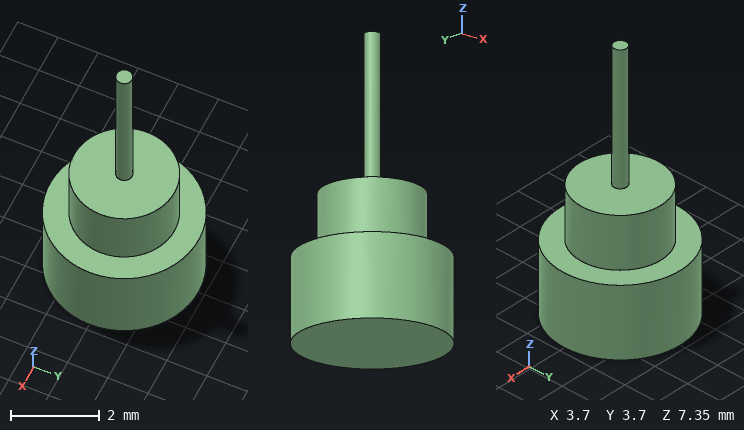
import cadquery as cq

total_height = 7.35
base_diameter = 3.7
base_height = 2.05
collar_diameter = 2.5
collar_height = 1.5
pin_diameter = 0.39

insert_diameter = 1.95

collar_top = base_height + collar_height
pin_length = total_height - collar_top


def cylinder(diameter, bottom, height):
    """Cylinder on the Z axis, standing on the given bottom level."""
    return cq.Workplane("XY").workplane(offset=bottom).circle(diameter / 2).extrude(height)


def stepped_shell():
    """Base and collar, with the insert's seat bored into the collar."""
    base = cylinder(base_diameter, 0, base_height)
    collar = cylinder(collar_diameter, base_height, collar_height)
    seat = cylinder(insert_diameter, base_height, collar_height)
    return base.union(collar).cut(seat)


def insert_with_pin():
    """Insert filling the seat, with the pin rising from its centre."""
    insert = cylinder(insert_diameter, base_height, collar_height)
    pin = cylinder(pin_diameter, collar_top, pin_length)
    return insert.union(pin)


result = stepped_shell().union(insert_with_pin(), clean=False)